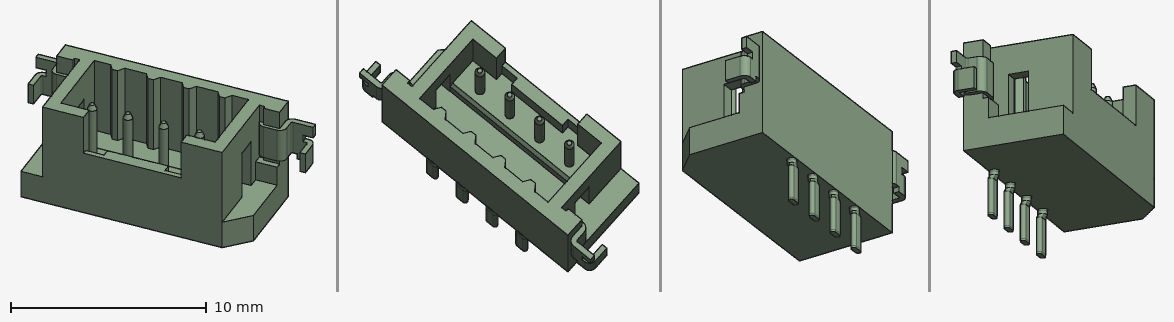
import cadquery as cq
import math


overall_length = 15.5
housing_length = 12.46
housing_depth = 5.6
housing_height = 5.9
half_housing = housing_length / 2

end_recess = 1.21
base_height = 1.58
ledge_height = 2.7
ledge_depth = 1.41
clip_seat_depth = 1.1
hook_slot_depth = 0.93
hook_slot_width = 0.3
body_half = half_housing - end_recess

cavity_half = 4.31
cavity_back = 0.7
cavity_front = 4.88
platform_height = 2.48
platform_back = 3.1
platform_chamfer = 0.19
window_back = 1.97
window_front = 3.08
window_top = 4.3

notch_half = 2.73
notch_floor = 3.69
groove_width = 1.02
groove_front = 5.32

pin_count = 4
pin_pitch = 2.0
rib_base = 0.79
rib_tip = 0.31
rib_rise = 0.35
pin_radius = 0.25
pin_depth = 3.9
pin_top = 5.6
pin_taper = 0.28
pin_tip_radius = 0.12

leg_length = 2.5
leg_width = 0.71
leg_thickness = 0.33
elbow_radius = 0.37
neck_start = 0.1
neck_end = 0.28
leg_start = 0.5
leg_tip_height = 0.11
leg_tip_inset = 0.02

sheet = 0.31
bend_radius = 0.23
clip_top = 4.9
clip_bottom = 2.99
clip_front = 1.29
clip_hook_end = 0.78
clip_notch_top = 4.25
clip_notch_bottom = 3.86
clip_notch_depth = 0.57
leg_tab_bottom = 2.7
leg_tab_width = 0.9

pin_places = [(i - (pin_count - 1) / 2) * pin_pitch for i in range(pin_count)]


def block(x_range, depth_range, z_range):
    """Box between two X values, two depths measured forward from the back face, and two heights."""
    (x0, x1), (d0, d1), (z0, z1) = x_range, depth_range, z_range
    return cq.Workplane("XY").box(x1 - x0, d1 - d0, z1 - z0, centered=False).translate((x0, -d1, z0))


def both_ends(shape):
    """Shape together with its mirror image at the other end of the housing."""
    return shape.union(shape.mirror("YZ"))


def end_recesses():
    """Recess above the base, clip seat and hook slot at each end."""
    left = -half_housing
    wall = -body_half
    recess = block((left, wall), (ledge_depth, housing_depth), (base_height, housing_height))
    seat = block((left, wall), (clip_seat_depth, housing_depth), (ledge_height, housing_height))
    hook = block((wall - hook_slot_width, wall), (hook_slot_depth, housing_depth), (ledge_height, housing_height))
    return both_ends(recess.union(seat).union(hook))


def cavity():
    """Cavity whose floor steps up to a platform around the pins, with a chamfered step edge."""
    profile = [
        (-cavity_back, housing_height),
        (-cavity_back, base_height),
        (-platform_back, base_height),
        (-platform_back, platform_height - platform_chamfer),
        (-platform_back - platform_chamfer, platform_height),
        (-cavity_front, platform_height),
        (-cavity_front, housing_height),
    ]
    return cq.Workplane("YZ").polyline(profile).close().extrude(cavity_half, both=True)


def front_notch():
    """Opening in the front wall with a groove down to the platform at each end."""
    notch = block((-notch_half, notch_half), (cavity_front, housing_depth), (notch_floor, housing_height))
    groove = block(
        (-notch_half, groove_width - notch_half),
        (cavity_front, groove_front),
        (platform_height, housing_height),
    )
    return notch.union(both_ends(groove))


def rib(x):
    """Tapered rib on the back wall of the cavity, from floor to rim."""
    outline = [
        (x - rib_base / 2, -cavity_back),
        (x - rib_tip / 2, -cavity_back - rib_rise),
        (x + rib_tip / 2, -cavity_back - rib_rise),
        (x + rib_base / 2, -cavity_back),
    ]
    return (
        cq.Workplane("XY", origin=(0, 0, base_height))
        .polyline(outline)
        .close()
        .extrude(housing_height - base_height)
    )


def housing():
    """Shroud with one chamfered corner and a window through each end wall."""
    body = block((-half_housing, half_housing), (0, housing_depth), (0, housing_height))
    body = body.edges("|Z and >X and <Y").chamfer(end_recess)
    body = body.cut(end_recesses()).cut(cavity()).cut(front_notch())
    windows = block((-body_half, body_half), (window_back, window_front), (base_height, window_top))
    body = body.cut(windows)
    for x in pin_places:
        body = body.union(rib(x))
    return body


def contact_pin(x):
    """Round pin with a tapered tip, rooted in the platform."""
    shoulder = pin_top - pin_taper
    profile = [
        (0, base_height),
        (pin_radius, base_height),
        (pin_radius, shoulder),
        (pin_tip_radius, pin_top),
        (0, pin_top),
    ]
    pin = cq.Workplane("XZ").polyline(profile).close().revolve(360, (0, 0, 0), (0, 1, 0))
    return pin.translate((x, -pin_depth, 0))


def solder_leg(x):
    """Round wire that turns down out of the housing and is flattened into a leg."""
    neck = cq.Workplane("XY", origin=(x, -pin_radius, -neck_end)).circle(pin_radius)
    neck = neck.extrude(neck_end - neck_start)
    elbow = (
        cq.Workplane("XY", origin=(x, -pin_radius, -neck_start))
        .circle(pin_radius)
        .revolve(90, (0, -elbow_radius, 0), (1, -elbow_radius, 0))
    )
    flare = (
        cq.Workplane("XY", origin=(x, -pin_radius, -neck_end))
        .circle(pin_radius)
        .workplane(offset=neck_end - leg_start)
        .center(0, pin_radius - leg_thickness / 2)
        .slot2D(leg_width, leg_thickness)
        .loft()
    )
    blade = (
        cq.Workplane("XY", origin=(x, -leg_thickness / 2, -leg_length))
        .slot2D(leg_width, leg_thickness)
        .extrude(leg_length - leg_start)
        .faces("<Z")
        .chamfer(leg_tip_height, leg_tip_inset)
    )
    return neck.union(elbow).union(flare).union(blade)


def toward(corner, other, distance):
    """Point at a distance from a corner along the line to another point."""
    share = distance / math.dist(corner, other)
    return tuple(c + (o - c) * share for c, o in zip(corner, other))


def bent_strip(points, z_range):
    """Upright sheet strip along a centre line whose inner corners are rounded."""
    z0, z1 = z_range
    path = cq.Workplane("XY", origin=(0, 0, (z0 + z1) / 2)).moveTo(*points[0])
    for before, corner, after in zip(points, points[1:], points[2:]):
        start, end = (toward(corner, other, bend_radius) for other in (before, after))
        path = path.lineTo(*start).tangentArcPoint(end, relative=False)
    path = path.lineTo(*points[-1])
    section = cq.Workplane("YZ", origin=(points[0][0], points[0][1], (z0 + z1) / 2)).rect(sheet, z1 - z0)
    return section.sweep(path)


def solder_clip():
    """Left clip: hooked strip, flat upper tab and folded lower tab."""
    outer = -overall_length / 2
    notch_end = outer + clip_notch_depth
    tab_line = -sheet / 2
    upright_line = -half_housing - sheet / 2
    arm_line = -clip_front + sheet / 2
    hook_line = -body_half - sheet / 2
    strip = bent_strip(
        [
            (notch_end, tab_line),
            (upright_line, tab_line),
            (upright_line, arm_line),
            (hook_line, arm_line),
            (hook_line, -clip_hook_end),
        ],
        (clip_bottom, clip_top),
    )
    upper_tab = block((outer, notch_end), (0, sheet), (clip_notch_top, clip_top))
    leg_tab = bent_strip(
        [
            (outer + leg_tab_width, tab_line),
            (outer + sheet / 2, tab_line),
            (outer + sheet / 2, -clip_front),
        ],
        (leg_tab_bottom, clip_notch_bottom),
    )
    return strip.union(upper_tab).union(leg_tab)


result = housing().union(both_ends(solder_clip()))
for pin_x in pin_places:
    result = result.union(contact_pin(pin_x)).union(solder_leg(pin_x))